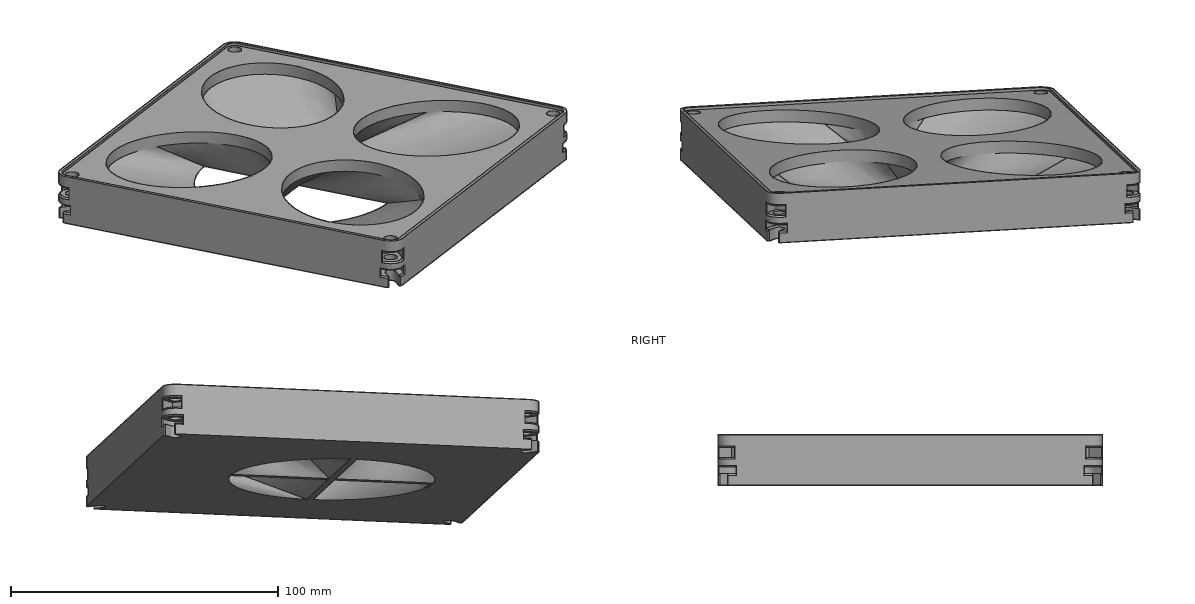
import cadquery as cq
import math

side = 144.0
height = 19.0
corner_radius = 5.0

lip_width = 1.3
lip_height = 1.0
lip_inner_radius = 3.5

mouth_offset = 34.4
mouth_major_radius = 31.5
mouth_minor_radius = 26.0
mouth_depth = 4.6
outlet_x = -7.0
outlet_y = 1.2
outlet_radius = 38.6
divider_thickness = 2.5

hole_diameter = 5.0
hole_inset = corner_radius
shank_slot_width = 4.0
nut_slot_width = 8.0
nut_slot_floor = 10.4
nut_slot_top = 14.1
head_slot_width = 9.0
head_slot_floor = 4.3
head_slot_top = 6.9
slot_chamfer = 0.6
head_slot_setback = 1.6

quadrants = [(1, 1), (-1, 1), (-1, -1), (1, -1)]
floor_z = height - lip_height
cut_margin = 1.5
tolerance = 0.01


def quadrant_angle(sign_x, sign_y):
    """Direction from the part centre to a corner, in degrees."""
    return math.degrees(math.atan2(sign_y, sign_x))


def plate():
    """Square plate with rounded corners and a shallow recess inside its lip."""
    body = cq.Workplane("XY").box(side, side, height, centered=(True, True, False))
    body = body.edges("|Z").fillet(corner_radius)
    recess_side = side - 2 * lip_width
    recess = cq.Workplane("XY", origin=(0, 0, floor_z))
    recess = recess.box(recess_side, recess_side, height, centered=(True, True, False))
    recess = recess.edges("|Z").fillet(lip_inner_radius)
    return body.cut(recess)


def mouth_plane(sign_x, sign_y, z):
    """Horizontal plane centred on a mouth, its local X pointing at the part centre."""
    return cq.Plane(
        origin=(sign_x * mouth_offset, sign_y * mouth_offset, z),
        xDir=(-sign_x, -sign_y, 0),
        normal=(0, 0, 1),
    )


def outlet_sector(sign_x, sign_y):
    """Closed wire of one quarter of the divided outlet, on the bottom face."""
    inner = divider_thickness / 2
    reach = math.sqrt(outlet_radius**2 - inner**2)
    middle = outlet_radius / math.sqrt(2)

    def point(x, y):
        return (outlet_x + sign_x * x, outlet_y + sign_y * y)

    sector = cq.Workplane("XY").moveTo(*point(inner, inner)).lineTo(*point(reach, inner))
    sector = sector.threePointArc(point(middle, middle), point(inner, reach)).close()
    return sector.wires().val()


def duct(sign_x, sign_y):
    """Straight elliptical mouth continued by a loft to its outlet sector."""
    loft_top = floor_z - mouth_depth
    ellipse = cq.Workplane(mouth_plane(sign_x, sign_y, loft_top))
    ellipse = ellipse.ellipse(mouth_major_radius, mouth_minor_radius)
    mouth = ellipse.extrude(mouth_depth + cut_margin)
    passage = cq.Solid.makeLoft([outlet_sector(sign_x, sign_y), ellipse.wires().val()], True)
    return mouth, cq.Workplane(passage)


def diagonal_slot(width, length_inside, bottom, top):
    """Slot along +X, from behind the hole axis at the origin out past the corner."""
    outside = 2 * corner_radius
    slot = cq.Workplane("XY", origin=(-length_inside, 0, bottom))
    return slot.box(length_inside + outside, width, top - bottom, centered=(False, True, False))


def round_end(diameter, setback, bottom, top):
    """Cylinder that rounds the inner end of a slot."""
    return cq.Workplane("XY", origin=(-setback, 0, bottom)).circle(diameter / 2).extrude(top - bottom)


def corner_cut(sign_x, sign_y):
    """Screw hole, nut slot, screw head slot and shank slot of one corner."""
    cut = round_end(hole_diameter, 0, head_slot_floor, height)
    cut = cut.union(round_end(shank_slot_width, 0, 0, head_slot_floor))
    cut = cut.union(diagonal_slot(shank_slot_width, 0, 0, head_slot_floor))
    cut = cut.union(diagonal_slot(nut_slot_width, nut_slot_width / 2, nut_slot_floor, nut_slot_top))
    cut = cut.union(diagonal_slot(head_slot_width, head_slot_setback, head_slot_floor, head_slot_top))
    cut = cut.union(round_end(head_slot_width, head_slot_setback, head_slot_floor, head_slot_top))
    cut = cut.rotate((0, 0, 0), (0, 0, 1), quadrant_angle(sign_x, sign_y))
    axis = side / 2 - hole_inset
    return cut.translate((sign_x * axis, sign_y * axis, 0))


def on_slot_mouth(edge):
    """True for an edge where a corner slot breaks through the outer side faces."""
    arc_centre = side / 2 - corner_radius
    for fraction in (0, 0.5, 1):
        point = edge.positionAt(fraction)
        past_x = max(abs(point.x) - arc_centre, 0)
        past_y = max(abs(point.y) - arc_centre, 0)
        if abs(math.hypot(past_x, past_y) - corner_radius) > tolerance:
            return False
    middle = edge.positionAt(0.5)
    between_faces = tolerance < middle.z < height - tolerance
    on_tangent_line = min(abs(abs(v) - arc_centre) for v in (middle.x, middle.y)) < tolerance
    return between_faces and not on_tangent_line


result = plate()
for quadrant in quadrants:
    result = result.cut(corner_cut(*quadrant))
mouth_edges = [edge for edge in result.edges().vals() if on_slot_mouth(edge)]
result = result.newObject(mouth_edges).chamfer(slot_chamfer)

for quadrant in quadrants:
    mouth, passage = duct(*quadrant)
    result = result.cut(mouth).cut(passage)